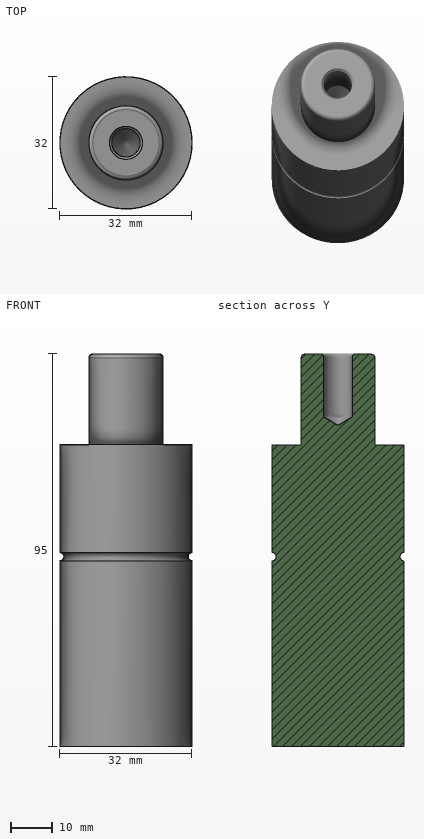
import cadquery as cq
import math

total_height = 95.0
body_diameter = 32.0
rod_diameter = 18.0
rod_length = 21.9
rod_edge_fillet = 0.95

groove_width = 2.0
groove_depth = 0.95
groove_center_height = 46.0

hole_diameter = 6.8
hole_depth = 15.2
hole_mouth_diameter = 8.0
drill_point_angle = 118.0

body_radius = body_diameter / 2
body_height = total_height - rod_length


def make_shaft():
    body = cq.Workplane("XY").circle(body_radius).extrude(body_height)
    rod = (
        cq.Workplane("XY")
        .workplane(offset=body_height)
        .circle(rod_diameter / 2)
        .extrude(rod_length)
        .faces(">Z")
        .edges()
        .fillet(rod_edge_fillet)
    )
    return body.union(rod)


def make_groove():
    low = groove_center_height - groove_width / 2
    high = groove_center_height + groove_width / 2
    return (
        cq.Workplane("XZ")
        .moveTo(body_radius, low)
        .threePointArc((body_radius - groove_depth, groove_center_height), (body_radius, high))
        .close()
        .revolve(360, (0, 0, 0), (0, 1, 0))
    )


def make_hole():
    hole_radius = hole_diameter / 2
    mouth_radius = hole_mouth_diameter / 2
    mouth_depth = mouth_radius - hole_radius
    hole_bottom = total_height - hole_depth
    point_depth = hole_radius / math.tan(math.radians(drill_point_angle / 2))
    return (
        cq.Workplane("XZ")
        .moveTo(0, hole_bottom - point_depth)
        .lineTo(hole_radius, hole_bottom)
        .lineTo(hole_radius, total_height - mouth_depth)
        .lineTo(mouth_radius, total_height)
        .lineTo(0, total_height)
        .close()
        .revolve(360, (0, 0, 0), (0, 1, 0))
    )


result = make_shaft().cut(make_groove()).cut(make_hole())